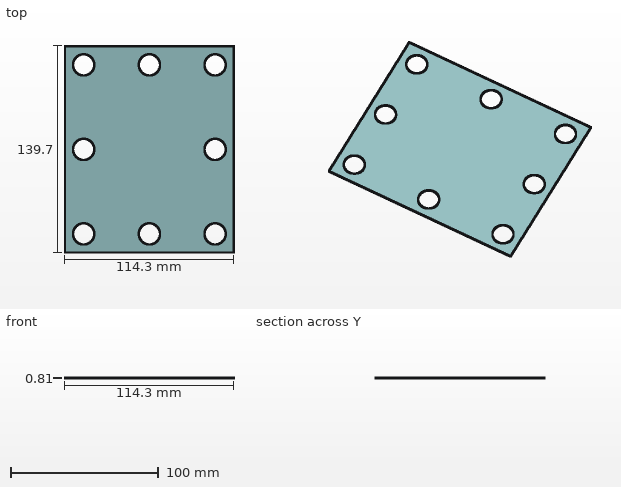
import cadquery as cq

plate_width = 114.3
plate_length = 139.7
plate_thickness = 0.81

hole_diameter = 14.22
hole_edge_inset = 12.7
hole_offset_x = plate_width / 2 - hole_edge_inset
hole_offset_y = plate_length / 2 - hole_edge_inset


def border_hole_centers():
    """Corners and side midpoints of the hole rectangle; the plate centre stays solid."""
    return [
        (column * hole_offset_x, row * hole_offset_y)
        for column in (-1, 0, 1)
        for row in (-1, 0, 1)
        if (column, row) != (0, 0)
    ]


def make_plate():
    """Flat rectangular plate, centred in X and Y, with its underside at Z = 0."""
    return cq.Workplane("XY").box(
        plate_width, plate_length, plate_thickness, centered=(True, True, False)
    )


def cut_border_holes(plate):
    """Drill the eight equal holes through the plate."""
    return plate.faces(">Z").workplane().pushPoints(border_hole_centers()).hole(hole_diameter)


result = cut_border_holes(make_plate())